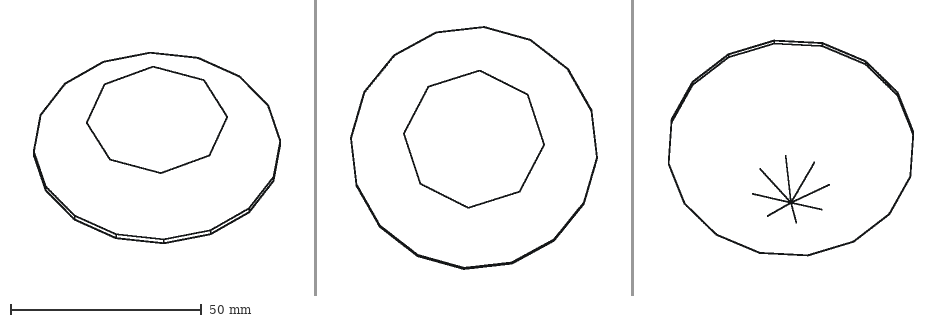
import cadquery as cq
import math

FOLDS = 8
FOLD_ANGLE = 360 / FOLDS
HALF_FOLD = FOLD_ANGLE / 2

GIRDLE_RADIUS = 32.4
TABLE_RADIUS = 18.5
CROWN_RADIUS = 24.9
PAVILION_RADIUS = 10.2

PAVILION_DEPTH = 27.95
GIRDLE_THICKNESS = 1.6
CROWN_HEIGHT = 10.5
STAR_DROP = 3.4
LOWER_FACET_DROP = 20.9

GIRDLE_BOTTOM = PAVILION_DEPTH
GIRDLE_TOP = GIRDLE_BOTTOM + GIRDLE_THICKNESS
TABLE_Z = GIRDLE_TOP + CROWN_HEIGHT
CROWN_Z = TABLE_Z - STAR_DROP
PAVILION_Z = GIRDLE_BOTTOM - LOWER_FACET_DROP
CULET = cq.Vector(0, 0, 0)


def corner(radius, angle, z):
    """Point at a polar position and height."""
    turn = math.radians(angle)
    return cq.Vector(radius * math.cos(turn), radius * math.sin(turn), z)


def flat_facet(*corners):
    """Planar facet bounded by straight edges."""
    return cq.Face.makeFromWires(cq.Wire.makePolygon(corners, close=True))


def kite_facet(outer, side_a, inner, side_b):
    """Smooth facet across four corners, which need not share one plane."""
    outer_edge = cq.Edge.makeLine(outer, side_a)
    inner_edge = cq.Edge.makeLine(side_b, inner)
    return cq.Face.makeRuledSurface(outer_edge, inner_edge)


def crown_facets(main_angle):
    """Kite, star and two upper girdle facets of one fold."""
    middle_angle = main_angle + HALF_FOLD
    next_angle = main_angle + FOLD_ANGLE
    table = corner(TABLE_RADIUS, main_angle, TABLE_Z)
    next_table = corner(TABLE_RADIUS, next_angle, TABLE_Z)
    previous_crown = corner(CROWN_RADIUS, main_angle - HALF_FOLD, CROWN_Z)
    crown = corner(CROWN_RADIUS, middle_angle, CROWN_Z)
    girdle = corner(GIRDLE_RADIUS, main_angle, GIRDLE_TOP)
    middle_girdle = corner(GIRDLE_RADIUS, middle_angle, GIRDLE_TOP)
    next_girdle = corner(GIRDLE_RADIUS, next_angle, GIRDLE_TOP)
    return [
        kite_facet(girdle, crown, table, previous_crown),
        flat_facet(table, crown, next_table),
        flat_facet(girdle, middle_girdle, crown),
        flat_facet(middle_girdle, next_girdle, crown),
    ]


def girdle_facets(main_angle):
    """Two upright facets of one fold."""
    facets = []
    for start in (main_angle, main_angle + HALF_FOLD):
        end = start + HALF_FOLD
        facets.append(flat_facet(
            corner(GIRDLE_RADIUS, start, GIRDLE_BOTTOM),
            corner(GIRDLE_RADIUS, end, GIRDLE_BOTTOM),
            corner(GIRDLE_RADIUS, end, GIRDLE_TOP),
            corner(GIRDLE_RADIUS, start, GIRDLE_TOP),
        ))
    return facets


def pavilion_facets(main_angle):
    """Kite reaching the culet and two lower girdle facets of one fold."""
    middle_angle = main_angle + HALF_FOLD
    previous_pavilion = corner(PAVILION_RADIUS, main_angle - HALF_FOLD, PAVILION_Z)
    pavilion = corner(PAVILION_RADIUS, middle_angle, PAVILION_Z)
    girdle = corner(GIRDLE_RADIUS, main_angle, GIRDLE_BOTTOM)
    middle_girdle = corner(GIRDLE_RADIUS, middle_angle, GIRDLE_BOTTOM)
    next_girdle = corner(GIRDLE_RADIUS, main_angle + FOLD_ANGLE, GIRDLE_BOTTOM)
    return [
        kite_facet(girdle, pavilion, CULET, previous_pavilion),
        flat_facet(girdle, middle_girdle, pavilion),
        flat_facet(middle_girdle, next_girdle, pavilion),
    ]


main_angles = [fold * FOLD_ANGLE for fold in range(FOLDS)]

facets = [flat_facet(*[corner(TABLE_RADIUS, angle, TABLE_Z) for angle in main_angles])]
for angle in main_angles:
    facets += crown_facets(angle)
    facets += girdle_facets(angle)
    facets += pavilion_facets(angle)

stone = cq.Solid.makeSolid(cq.Shell.makeShell(facets)).fix()
result = cq.Workplane("XY").newObject([stone])